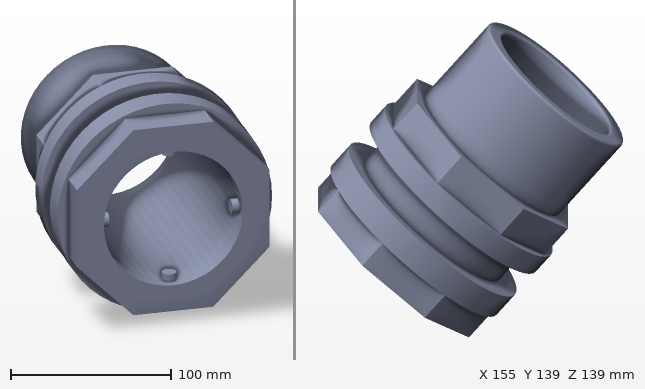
import cadquery as cq

overall_length = 155
front_hex_start = 60.9
front_hex_end = 83.4
front_flange_end = 98.1
rear_flange_start = 117.8
rear_flange_end = 135.3

pipe_diameter = 112.0
bore_diameter = 90.0
flange_diameter = 139.0
hex_across_flats = 125.0
octagon_sides = 8
mouth_rounding = 1.9

pin_count = 4
pin_diameter = 9.1
pin_tip_radius = 39.8
pin_root_radius = (bore_diameter + pipe_diameter) / 4
pin_station = (rear_flange_end + overall_length) / 2


def disc(start, end, diameter):
    """Round section along X."""
    return cq.Workplane("YZ", origin=(start, 0, 0)).circle(diameter / 2).extrude(end - start)


def octagon(start, end):
    """Octagonal wrench section along X, with flats facing Y and Z."""
    return (
        cq.Workplane("YZ", origin=(start, 0, 0))
        .polygon(octagon_sides, hex_across_flats, circumscribed=True)
        .extrude(end - start)
    )


def inward_pin(angle):
    """Radial pin rooted in the wall, turned about X."""
    return (
        cq.Workplane("XY", origin=(pin_station, 0, pin_tip_radius))
        .circle(pin_diameter / 2)
        .extrude(pin_root_radius - pin_tip_radius)
        .rotate((0, 0, 0), (1, 0, 0), angle)
    )


body = disc(0, overall_length, pipe_diameter)
body = body.union(octagon(front_hex_start, front_hex_end))
body = body.union(disc(front_hex_end, front_flange_end, flange_diameter))
body = body.union(disc(rear_flange_start, rear_flange_end, flange_diameter))
body = body.union(octagon(rear_flange_end, overall_length))

body = body.cut(disc(0, overall_length, bore_diameter))
body = body.faces("<X").edges().fillet(mouth_rounding)

for index in range(pin_count):
    body = body.union(inward_pin(index * 360 / pin_count))

result = body